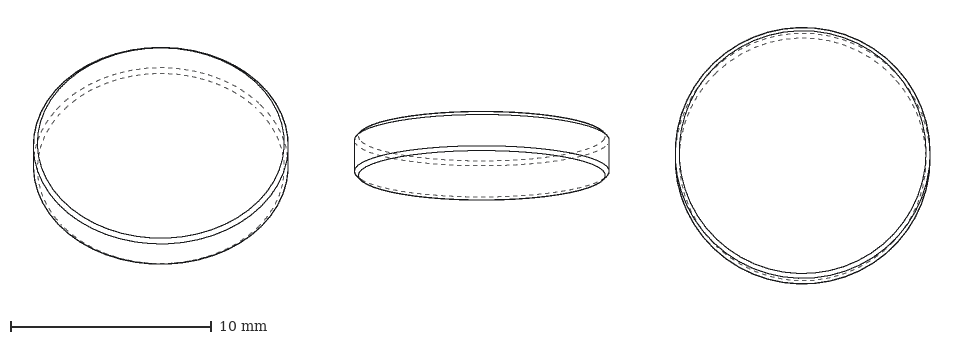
import cadquery as cq

diameter = 12.7
center_thickness = 2.98
dome_height = 0.5
chamfer = 0.2

outer_radius = diameter / 2
dome_radius = outer_radius - chamfer
apex_z = center_thickness / 2
dome_edge_z = apex_z - dome_height
wall_edge_z = dome_edge_z - chamfer

sphere_radius = (dome_radius**2 + dome_height**2) / (2 * dome_height)

arc_mid_x = dome_radius / 2
arc_mid_z = apex_z - sphere_radius + (sphere_radius**2 - arc_mid_x**2) ** 0.5

half_section = (
    cq.Workplane("XZ")
    .moveTo(0, -apex_z)
    .threePointArc((arc_mid_x, -arc_mid_z), (dome_radius, -dome_edge_z))
    .lineTo(outer_radius, -wall_edge_z)
    .lineTo(outer_radius, wall_edge_z)
    .lineTo(dome_radius, dome_edge_z)
    .threePointArc((arc_mid_x, arc_mid_z), (0, apex_z))
    .close()
)

result = half_section.revolve(360, (0, 0, 0), (0, 1, 0))